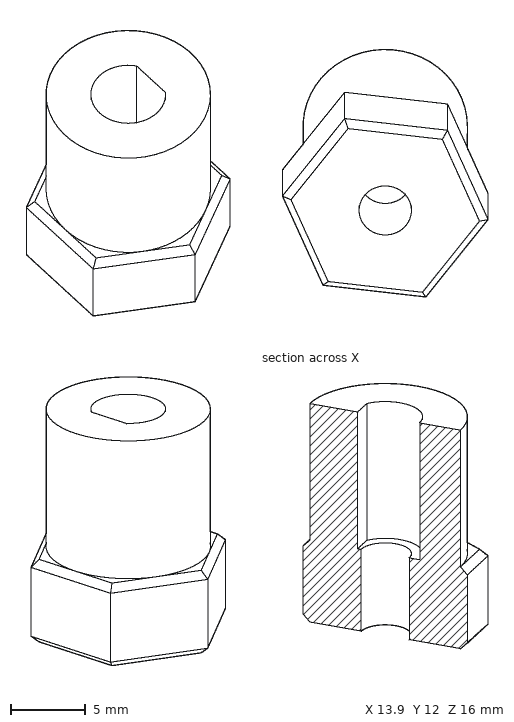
import cadquery as cq
import math

hex_across_flats = 12.0
hex_height = 6.0
hex_chamfer = 0.5

hub_diameter = hex_across_flats - 2 * hex_chamfer
hub_height = 10.0
total_height = hex_height + hub_height

socket_diameter = 5.0
socket_flat_offset = 2.0
socket_depth = hub_height

screw_hole_diameter = 3.5


def make_hex_base():
    """Hexagonal prism with its top and bottom edges chamfered."""
    across_corners = hex_across_flats / math.cos(math.pi / 6)
    prism = cq.Workplane("XY").polygon(6, across_corners).extrude(hex_height)
    return prism.faces("|Z").edges().chamfer(hex_chamfer)


def make_hub():
    """Cylinder standing on the hexagonal base."""
    return cq.Workplane("XY").workplane(offset=hex_height).circle(hub_diameter / 2).extrude(hub_height)


def make_shaft_socket():
    """Solid filling the D-shaped socket, from its floor up to the hub's top face."""
    radius = socket_diameter / 2
    half_flat = math.sqrt(radius**2 - socket_flat_offset**2)
    return (
        cq.Workplane("XY")
        .workplane(offset=total_height - socket_depth)
        .moveTo(-half_flat, socket_flat_offset)
        .threePointArc((0, -radius), (half_flat, socket_flat_offset))
        .close()
        .extrude(socket_depth)
    )


def make_screw_hole():
    """Solid filling the round through hole."""
    return cq.Workplane("XY").circle(screw_hole_diameter / 2).extrude(total_height)


body = make_hex_base().union(make_hub())
result = body.cut(make_shaft_socket()).cut(make_screw_hole())